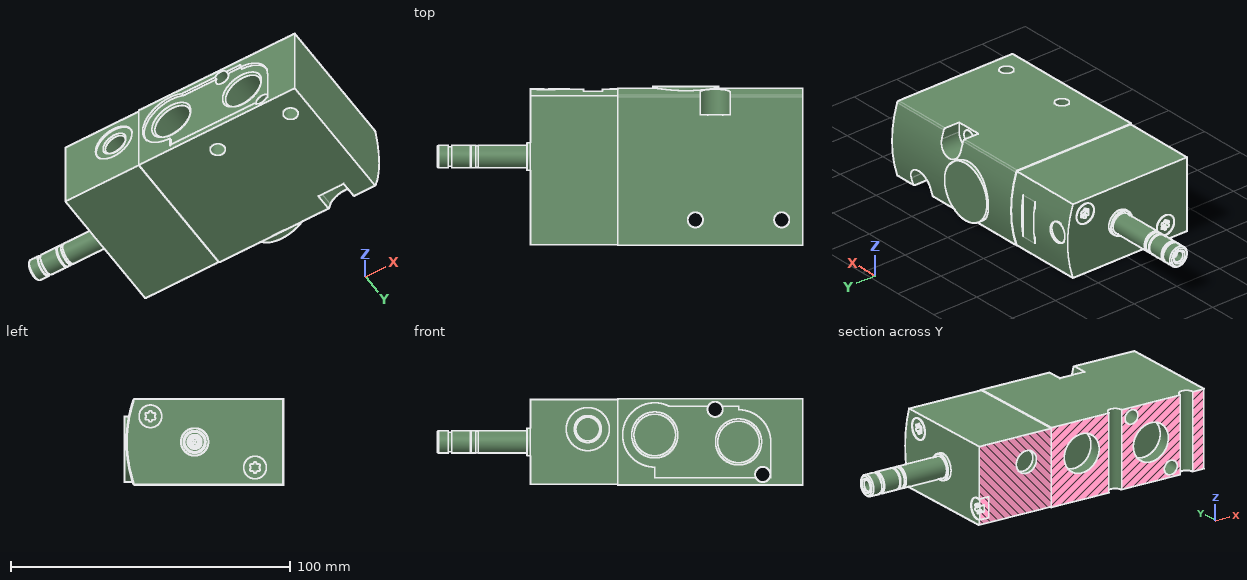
import cadquery as cq
import math


total_length = 131.1

body_length = 66.3
body_depth = 56.4
body_height = 31.0
crown_radius = 47.2
crown_edge_radius = 0.8

cap_length = 31.3
cap_inset = 0.3
cap_height = body_height - 2 * cap_inset
cap_face_x = -cap_length

port_dia = 15.0
port_mouth_dia = 16.5
port_depth = 13.1
left_port = (13.2, 2.5)
right_port = (43.3, 0.0)

pocket_depth = 1.0
pocket_lobe_radius = 11.5
pocket_half_height = 12.8

mount_dia = 5.4
cross_holes = [(34.9, 1), (51.9, -1)]
cross_hole_z = 11.7
notch_width = 10.8
notch_floor_y = 46.8
vertical_hole_x = [27.8, 58.7]
vertical_hole_y = 9.2

boss_dia = 23.6
boss_height = 0.7
boss_x = 24.4
boss_z = -2.6
boss_root = 3.9

pilot_x = -10.8
pilot_z = 4.6
pilot_dia = 8.5
pilot_mouth_dia = 9.7
pilot_depth = 10.5
spotface_dia = 15.5
spotface_depth = 0.5

flat_y = 55.3
slot_x = -8.9
slot_width = 6.7
recess_x = -25.7
recess_z = 2.0
recess_dia = 8.1

stem_y = 31.9
stem_dia = 8.1
stem_length = total_length - body_length - cap_length
collar_dia = 10.0
collar_length = 1.3
collar_chamfer = 0.1
neck_dia = 7.9
neck_start = 18.7
neck_width = 0.8
ring_start = 21.1
ring_width = 0.4
groove_dia = 7.1
groove_start = 28.2
groove_width = 1.2
tip_chamfer = 0.5
bore_mouth_dia = 5.2
bore_dia = 4.2
bore_end_dia = 3.3
bore_taper_length = 2.6
inner_bore_dia = 2.4
inner_bore_length = 2.0
vent_dia = 0.9
vent_length = 2.6

screw_places = [(47.7, 9.2), (10.2, -9.2)]
screw_head_dia = 8.1
screw_head_height = 3.9
screw_recess = 0.3
socket_core_dia = 3.0
socket_lobe_dia = 1.0
socket_lobes = 6
socket_depth = 2.0


def cylinder(start, direction, dia, length):
    return cq.Workplane(cq.Solid.makeCylinder(dia / 2, length, cq.Vector(*start), cq.Vector(*direction)))


def cone(start, direction, start_dia, end_dia, length):
    return cq.Workplane(
        cq.Solid.makeCone(start_dia / 2, end_dia / 2, length, cq.Vector(*start), cq.Vector(*direction))
    )


def box(x_range, y_range, z_range):
    (x0, x1), (y0, y1), (z0, z1) = x_range, y_range, z_range
    return cq.Workplane("XY").box(x1 - x0, y1 - y0, z1 - z0, centered=False).translate((x0, y0, z0))


def crowned_block(x_start, length, y_front, y_apex, height, radius):
    """Block along X whose back is an arc with its apex at mid height."""
    half = height / 2
    y_edge = y_apex - radius + math.sqrt(radius**2 - half**2)
    return (
        cq.Workplane("YZ", origin=(x_start, 0, 0))
        .moveTo(y_front, -half)
        .lineTo(y_edge, -half)
        .threePointArc((y_apex, 0), (y_edge, half))
        .lineTo(y_front, half)
        .close()
        .extrude(length)
    )


def front_hole(x, z, y_mouth, dia, mouth_dia, depth):
    """Blind hole from the front with a 45 degree countersink at its mouth."""
    hole = cylinder((x, y_mouth, z), (0, 1, 0), dia, depth)
    return hole.union(cone((x, y_mouth, z), (0, 1, 0), mouth_dia, dia, (mouth_dia - dia) / 2))


def gasket_pocket():
    left_x, left_z = left_port
    right_x, right_z = right_port
    lobe_dia = 2 * pocket_lobe_radius
    y_range = (0, pocket_depth)
    middle = box((left_x, right_x), y_range, (-pocket_half_height, pocket_half_height))
    corner = box((right_x, right_x + pocket_lobe_radius), y_range, (-pocket_half_height, right_z))
    left_lobe = cylinder((left_x, 0, left_z), (0, 1, 0), lobe_dia, pocket_depth)
    right_lobe = cylinder((right_x, 0, right_z), (0, 1, 0), lobe_dia, pocket_depth)
    return middle.union(corner).union(left_lobe).union(right_lobe)


def cross_hole(x, side):
    """Hole along Y with a U-shaped notch at the back, open to the top or bottom of the body."""
    z = side * cross_hole_z
    hole = cylinder((x, 0, z), (0, 1, 0), mount_dia, body_depth)
    notch_length = body_depth - notch_floor_y
    seat = cylinder((x, notch_floor_y, z), (0, 1, 0), notch_width, notch_length)
    opening_z = sorted([z, side * body_height / 2])
    x_range = (x - notch_width / 2, x + notch_width / 2)
    opening = box(x_range, (notch_floor_y, body_depth), opening_z)
    return hole.union(seat).union(opening)


def make_body():
    body = crowned_block(0, body_length, 0, body_depth, body_height, crown_radius)
    long_back_edges = cq.selectors.BoxSelector(
        (0, body_depth / 2, -body_height), (body_length, body_depth, body_height)
    )
    body = body.edges("|X").edges(long_back_edges).fillet(crown_edge_radius)

    boss_face_y = body_depth + boss_height
    body = body.union(cylinder((boss_x, boss_face_y, boss_z), (0, -1, 0), boss_dia, boss_root))

    body = body.cut(gasket_pocket())
    for x, z in (left_port, right_port):
        body = body.cut(front_hole(x, z, pocket_depth, port_dia, port_mouth_dia, port_depth))
    for x, side in cross_holes:
        body = body.cut(cross_hole(x, side))
    for x in vertical_hole_x:
        start = (x, vertical_hole_y, -body_height / 2)
        body = body.cut(cylinder(start, (0, 0, 1), mount_dia, body_height))
    return body


def stem_section(start, length, dia):
    """Cylinder on the stem axis, starting at a distance from the cap face and running outward."""
    return cylinder((cap_face_x - start, stem_y, 0), (-1, 0, 0), dia, length)


def stem_groove(start, width, dia):
    return stem_section(start, width, collar_dia).cut(stem_section(start, width, dia))


def tip_bore():
    """Stepped bore in the end of the stem, narrowing inward."""
    mouth_length = (bore_mouth_dia - bore_dia) / 2
    taper_x = cap_face_x - stem_length + mouth_length
    inner_x = taper_x + bore_taper_length
    vent_x = inner_x + inner_bore_length
    inward = (1, 0, 0)
    bore = cone((taper_x - mouth_length, stem_y, 0), inward, bore_mouth_dia, bore_dia, mouth_length)
    bore = bore.union(cone((taper_x, stem_y, 0), inward, bore_dia, bore_end_dia, bore_taper_length))
    bore = bore.union(cylinder((inner_x, stem_y, 0), inward, inner_bore_dia, inner_bore_length))
    return bore.union(cylinder((vent_x, stem_y, 0), inward, vent_dia, vent_length))


def make_stem():
    stem = stem_section(0, stem_length, stem_dia).faces("<X").chamfer(tip_chamfer)
    stem = stem.union(stem_section(0, collar_length, collar_dia).faces("<X").chamfer(collar_chamfer))
    stem = stem.cut(stem_groove(neck_start, neck_width, neck_dia))
    stem = stem.cut(stem_groove(ring_start, ring_width, neck_dia))
    stem = stem.cut(stem_groove(groove_start, groove_width, groove_dia))
    return stem.cut(tip_bore())


def make_cap():
    cap = crowned_block(
        cap_face_x, cap_length, cap_inset, body_depth - cap_inset, cap_height, crown_radius - cap_inset
    )
    cap = cap.cut(
        box(
            (slot_x - slot_width / 2, slot_x + slot_width / 2),
            (flat_y, body_depth),
            (-cap_height / 2, cap_height / 2),
        )
    )
    cap = cap.cut(cylinder((recess_x, flat_y, recess_z), (0, 1, 0), recess_dia, body_depth - flat_y))

    cap = cap.cut(cylinder((pilot_x, cap_inset, pilot_z), (0, 1, 0), spotface_dia, spotface_depth))
    mouth_y = cap_inset + spotface_depth
    cap = cap.cut(front_hole(pilot_x, pilot_z, mouth_y, pilot_dia, pilot_mouth_dia, pilot_depth))

    for y, z in screw_places:
        seat_depth = screw_recess + screw_head_height
        cap = cap.cut(cylinder((cap_face_x, y, z), (1, 0, 0), screw_head_dia, seat_depth))
    return cap.union(make_stem())


def make_screw(y, z):
    """Screw head with a six-lobed socket."""
    head_face_x = cap_face_x + screw_recess
    inward = (1, 0, 0)
    head = cylinder((head_face_x, y, z), inward, screw_head_dia, screw_head_height)
    socket = cylinder((head_face_x, y, z), inward, socket_core_dia, socket_depth)
    for i in range(socket_lobes):
        angle = math.pi / 2 + i * 2 * math.pi / socket_lobes
        lobe_y = y + socket_core_dia / 2 * math.cos(angle)
        lobe_z = z + socket_core_dia / 2 * math.sin(angle)
        socket = socket.union(cylinder((head_face_x, lobe_y, lobe_z), inward, socket_lobe_dia, socket_depth))
    return head.cut(socket)


body = make_body()
cap = make_cap()
screws = [make_screw(y, z) for y, z in screw_places]

result = cq.Compound.makeCompound([body.val(), cap.val(), *[screw.val() for screw in screws]])